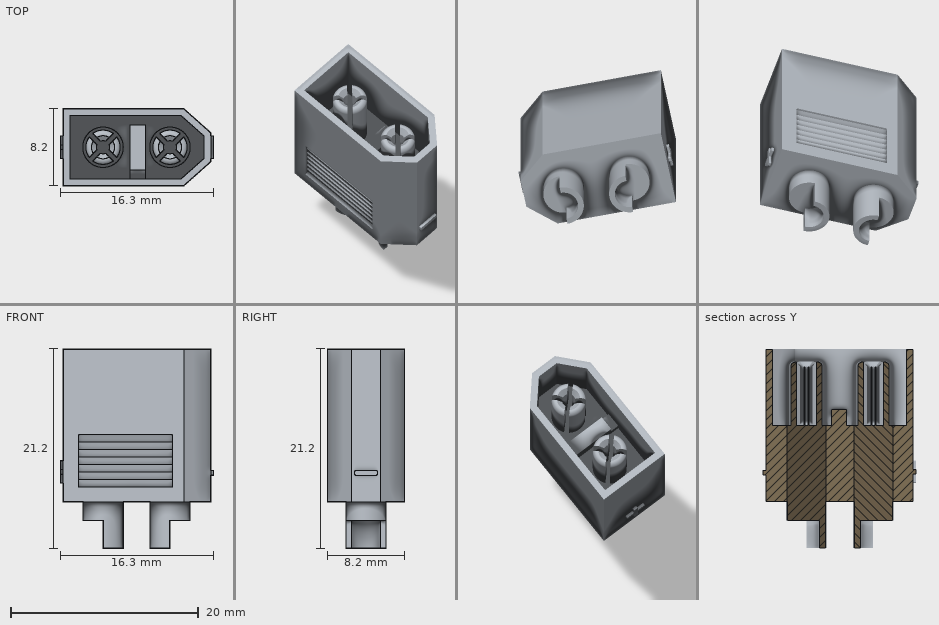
import cadquery as cq


housing_length = 15.7
housing_width = 8.2
housing_height = 16.24
nose_length = 2.88
nose_flat = 3.07
wall = 0.75
floor_z = 8.12

key_width = 1.63
key_x = 0.06
key_back_y = 2.35
key_step_y = -2.42
key_height = 1.7
key_step_height = 0.85

panel_left = 1.63
panel_width = 10.0
panel_bottom = 1.55
panel_height = 5.6
louvre_count = 7
panel_round = 0.1
panel_depth_min = 0.21
panel_depth_max = 0.42

mark_length = 2.4
mark_thickness = 0.5
mark_height = 0.3
mark_round = 0.1
plus_z = 3.18
minus_z = 3.07

pin_pitch = 7.12
pin_mid_x = -0.053
pin_top_z = 14.88
base_diameter = 4.3
contact_radius = 1.82
tip_round = 0.5
mouth_radius = 1.23
bore_radius = 0.7
mouth_depth = 0.55
slot_width = 0.53
slot_angles = (45, 135)
cup_diameter = 3.07
cup_length = 2.97
cup_shoulder_z = -2.0

base_radius = base_diameter / 2
pin_bottom_z = cup_shoulder_z - cup_length
pin_positions = {side: pin_mid_x + side * pin_pitch / 2 for side in (-1, 1)}


def outer_outline():
    """Rectangle with both corners of the +X end cut off."""
    half_length = housing_length / 2
    half_width = housing_width / 2
    return cq.Workplane("XY").polyline([
        (-half_length, -half_width),
        (half_length - nose_length, -half_width),
        (half_length, -nose_flat / 2),
        (half_length, nose_flat / 2),
        (half_length - nose_length, half_width),
        (-half_length, half_width),
    ]).close()


def shell():
    """Tube open at the top, with a solid block below the cavity floor."""
    block = outer_outline().extrude(housing_height)
    cavity = outer_outline().offset2D(-wall, "intersection").extrude(housing_height - floor_z)
    return block.cut(cavity.translate((0, 0, floor_z)))


def key():
    """Stepped block between the pins: high part, then a low part up to the -Y wall."""
    inner_wall_y = wall - housing_width / 2
    profile = [
        (inner_wall_y, floor_z),
        (key_back_y, floor_z),
        (key_back_y, floor_z + key_height),
        (key_step_y, floor_z + key_height),
        (key_step_y, floor_z + key_step_height),
        (inner_wall_y, floor_z + key_step_height),
    ]
    start = cq.Workplane("YZ", origin=(key_x - key_width / 2, 0, 0))
    return start.polyline(profile).close().extrude(key_width)


def louvre_cut():
    """Sunken panel whose floor is a row of boards, each leaning in towards its lower edge.

    The two upper corners of the panel are rounded.
    """
    face_y = -housing_width / 2
    pitch = panel_height / louvre_count
    profile = [(face_y, panel_bottom)]
    for board in range(louvre_count):
        lower_z = panel_bottom + board * pitch
        profile.append((face_y + panel_depth_max, lower_z))
        profile.append((face_y + panel_depth_min, lower_z + pitch))
    profile.append((face_y, panel_bottom + panel_height))
    start = cq.Workplane("YZ", origin=(panel_left - housing_length / 2, 0, 0))
    panel = start.polyline(profile).close().extrude(panel_width)
    return panel.faces(">Z").edges("|Y").fillet(panel_round)


def minus_mark():
    """Raised bar on the +X end, lengthwise along Y."""
    start = cq.Workplane("YZ", origin=(housing_length / 2, 0, minus_z))
    return start.rect(mark_length, mark_thickness).extrude(mark_height).edges("|X").fillet(mark_round)


def plus_mark():
    """Raised cross on the -X end."""
    start = cq.Workplane("YZ", origin=(-housing_length / 2, 0, plus_z))
    level_bar = start.rect(mark_length, mark_thickness).extrude(-mark_height)
    upright_bar = start.rect(mark_thickness, mark_length).extrude(-mark_height)
    return level_bar.union(upright_bar).edges("|X").fillet(mark_round)


def make_housing():
    """Shell with its key, panel, marks and the two holes the pins fill."""
    body = shell().union(key()).cut(louvre_cut())
    body = body.union(minus_mark()).union(plus_mark())
    for x in pin_positions.values():
        hole = cq.Workplane("XY").center(x, 0).circle(base_radius).extrude(floor_z)
        body = body.cut(hole)
    return body


def pin_blank():
    """Turned pin: thick base, thinner contact with a rounded tip and a funnel-mouthed bore."""
    profile = (
        cq.Workplane("XZ")
        .moveTo(0, pin_bottom_z)
        .lineTo(base_radius, pin_bottom_z)
        .lineTo(base_radius, floor_z)
        .lineTo(contact_radius, floor_z)
        .lineTo(contact_radius, pin_top_z - tip_round)
        .radiusArc((contact_radius - tip_round, pin_top_z), -tip_round)
        .lineTo(mouth_radius, pin_top_z)
        .lineTo(bore_radius, pin_top_z - mouth_depth)
        .lineTo(bore_radius, floor_z)
        .lineTo(0, floor_z)
        .close()
    )
    return profile.revolve(360, (0, 0, 0), (0, 1, 0))


def contact_slot(angle):
    """Slot across the contact, down to the top of the base."""
    slot_depth = pin_top_z - floor_z
    slot = cq.Workplane("XY").box(base_diameter, slot_width, slot_depth, (True, True, False))
    return slot.rotate((0, 0, 0), (0, 0, 1), angle).translate((0, 0, floor_z))


def make_pin(side):
    """Pin on the given side; its solder cup is open away from the other pin."""
    pin = pin_blank()
    for angle in slot_angles:
        pin = pin.cut(contact_slot(angle))
    cup_bore = cq.Workplane("XY", origin=(0, 0, pin_bottom_z)).circle(cup_diameter / 2).extrude(cup_length)
    open_half = (
        cq.Workplane("XY", origin=(0, 0, pin_bottom_z))
        .center(side * base_radius, 0)
        .rect(base_diameter, base_diameter)
        .extrude(cup_length)
    )
    return pin.cut(cup_bore).cut(open_half).translate((pin_positions[side], 0, 0))


housing = make_housing()
pins = [make_pin(side) for side in pin_positions]

result = cq.Compound.makeCompound([housing.val(), *[pin.val() for pin in pins]])